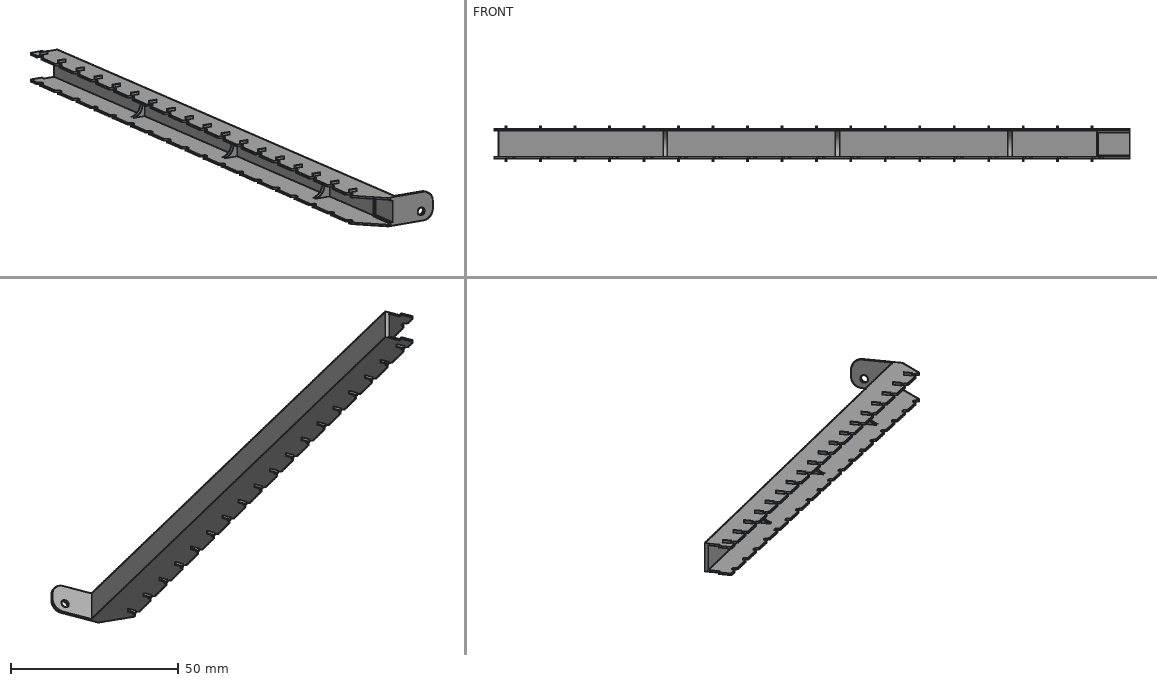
import cadquery as cq

total_length = 189.9
channel_height = 8.9
flange_thickness = 0.6
web_thickness = 1.2
web_start = 1.2
back_start = 8.75
back_end = 10.75
nose_depth = 4.0
nose_fillet = 0.5
end_bevel = 7.9

tab_thickness = 1.0
tab_reach = 23.75
tab_corner_radius = 3.4
tab_hole_diameter = 2.4
tab_hole_y = 19.6
tab_hole_z = -1.5

pitch = 10.3
station_count = 18
first_peg_x = 3.55
peg_width = 0.4
peg_front = 1.2
peg_back = 3.8
overall_height = 10.5
first_notch_x = 4.9
notch_mouth = 2.6
notch_floor = 1.2
notch_depth = 1.2

rib_count = 3
rib_pitch = 5 * pitch
first_rib_x = 51.1
rib_thickness = 1.3
throat_shoulder = 4.2
throat_bottom = 7.4

frame_start = 180.0
frame_width = 0.5
frame_height = 0.5

inner_height = channel_height - 2 * flange_thickness


def slab(outline, z_low, z_high):
    """Extrude an XY outline between two Z levels."""
    return cq.Workplane("XY", origin=(0, 0, z_low)).polyline(outline).close().extrude(z_high - z_low)


def channel_body():
    """Outer envelope of the channel."""
    outline = [
        (0, 0),
        (total_length - end_bevel, 0),
        (total_length, end_bevel),
        (total_length, back_end),
        (web_start, back_start),
        (web_start, nose_depth),
        (0, nose_depth),
    ]
    body = slab(outline, -channel_height / 2, channel_height / 2)
    return body.edges("|Z").edges("<X and <Y").fillet(nose_fillet)


def web_face(x):
    """Y of the inner web face, parallel to the tapering back."""
    taper = (back_end - back_start) / (total_length - web_start)
    return back_start - web_thickness + taper * (x - web_start)


def bay(x_start, x_end):
    """Rectangular hollow of one bay between the flanges."""
    outline = [(x_start, 0), (x_end, 0), (x_end, web_face(x_end)), (x_start, web_face(x_start))]
    return slab(outline, -inner_height / 2, inner_height / 2)


def throat():
    """Full-length round-bottomed opening through the ribs."""
    return (
        cq.Workplane("YZ")
        .moveTo(0, -inner_height / 2)
        .lineTo(throat_shoulder, -inner_height / 2)
        .threePointArc((throat_bottom, 0), (throat_shoulder, inner_height / 2))
        .lineTo(0, inner_height / 2)
        .close()
        .extrude(total_length)
    )


def hollow_channel(body):
    """Open up the bays between the ribs, then the throat."""
    bay_start = 0
    for index in range(rib_count):
        rib_x = first_rib_x + index * rib_pitch
        body = body.cut(bay(bay_start, rib_x - rib_thickness / 2))
        bay_start = rib_x + rib_thickness / 2
    return body.cut(bay(bay_start, total_length)).cut(throat())


def end_frame():
    """Raised frame around a rectangular field of the web, open at the far end."""
    length = total_length - frame_start
    front_y = web_face(frame_start) - frame_height
    pad = cq.Workplane("XY").box(length, web_thickness, inner_height, centered=(False, False, True))
    field = (
        cq.Workplane("XY")
        .box(length, web_thickness, inner_height - 2 * frame_width, centered=(False, False, True))
        .translate((frame_width, 0, 0))
    )
    return pad.cut(field).translate((frame_start, front_y, 0))


def tab():
    """Drilled tab with a rounded tip, flush with the far end."""
    root_y = web_face(total_length)
    plate = (
        cq.Workplane("XY")
        .box(tab_thickness, tab_reach - root_y, channel_height, centered=(False, False, True))
        .translate((total_length - tab_thickness, root_y, 0))
        .edges("|X and >Y")
        .fillet(tab_corner_radius)
    )
    hole = (
        cq.Workplane("YZ")
        .center(tab_hole_y, tab_hole_z)
        .circle(tab_hole_diameter / 2)
        .extrude(total_length)
    )
    return plate.cut(hole)


def notch(x):
    """Tapered notch in the front edges of both flanges."""
    outline = [
        (x - notch_mouth / 2, 0),
        (x + notch_mouth / 2, 0),
        (x + notch_floor / 2, notch_depth),
        (x - notch_floor / 2, notch_depth),
    ]
    return slab(outline, -channel_height / 2, channel_height / 2)


def peg_pair(x):
    """Pegs on the outer faces of both flanges."""
    return (
        cq.Workplane("XY")
        .box(peg_width, peg_back - peg_front, overall_height)
        .cut(cq.Workplane("XY").box(peg_width, peg_back - peg_front, inner_height))
        .translate((x, (peg_front + peg_back) / 2, 0))
    )


result = hollow_channel(channel_body())
result = result.union(end_frame()).union(tab())
for station in range(station_count):
    offset = station * pitch
    result = result.cut(notch(first_notch_x + offset)).union(peg_pair(first_peg_x + offset))